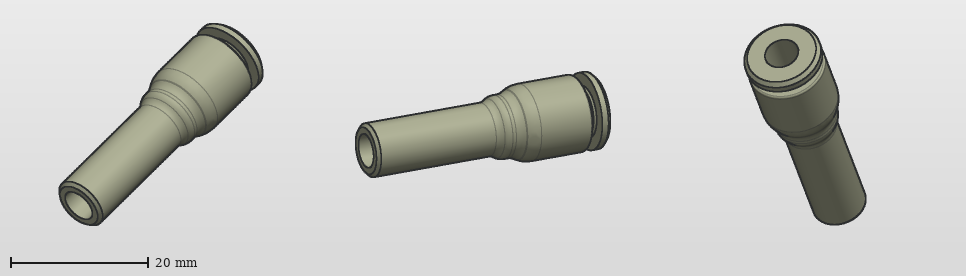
import cadquery as cq
import math

LENGTH = 37.1
BODY_RADIUS = 11.5 / 2
NECK_RADIUS = 7.1 / 2
RING_RADIUS = 9.5 / 2
STEM_RADIUS = 8.0 / 2
BORE_RADIUS = 5.0 / 2

FLANGE_THICKNESS = 1.6
FLANGE_CHAMFER = 0.6
NECK_CHAMFER = 0.35
NECK_GAP = 1.5

BODY_STRAIGHT = 8.4
BODY_EDGE_FILLET = 0.3
SHOULDER_CONVEX_RADIUS = 4.0
SHOULDER_CONCAVE_RADIUS = 3.0
SHOULDER_ANGLE = math.radians(30)

RING_WIDTH = 0.55
BLEND_LENGTH = 2.35
BLEND_CONVEX_LENGTH = 1.1
STEM_CHAMFER = 0.52

flange_bottom = LENGTH - FLANGE_THICKNESS
body_top = flange_bottom - NECK_GAP
shoulder_start = body_top - BODY_STRAIGHT

sin_slope = math.sin(SHOULDER_ANGLE)
arc_rise = 1 - math.cos(SHOULDER_ANGLE)
cone_top_radius = BODY_RADIUS - SHOULDER_CONVEX_RADIUS * arc_rise
cone_top = shoulder_start - SHOULDER_CONVEX_RADIUS * sin_slope
cone_bottom_radius = RING_RADIUS + SHOULDER_CONCAVE_RADIUS * arc_rise
cone_bottom = cone_top - (cone_top_radius - cone_bottom_radius) / math.tan(SHOULDER_ANGLE)
ring_top = cone_bottom - SHOULDER_CONCAVE_RADIUS * sin_slope
ring_bottom = ring_top - RING_WIDTH

blend_middle = ring_bottom - BLEND_CONVEX_LENGTH
blend_drop = (RING_RADIUS - STEM_RADIUS) * BLEND_CONVEX_LENGTH / BLEND_LENGTH
blend_middle_radius = RING_RADIUS - blend_drop
stem_top = ring_bottom - BLEND_LENGTH


def half_outline():
    """Half section as (radius, Y), from the flange end down to the stem tip."""
    collar = (
        cq.Workplane("XY")
        .moveTo(BORE_RADIUS, LENGTH)
        .lineTo(BODY_RADIUS - FLANGE_CHAMFER, LENGTH)
        .lineTo(BODY_RADIUS, LENGTH - FLANGE_CHAMFER)
        .lineTo(BODY_RADIUS, flange_bottom)
        .lineTo(NECK_RADIUS + NECK_CHAMFER, flange_bottom)
        .lineTo(NECK_RADIUS, flange_bottom - NECK_CHAMFER)
        .lineTo(NECK_RADIUS, body_top)
    )
    body = (
        collar
        .lineTo(BODY_RADIUS - BODY_EDGE_FILLET, body_top)
        .tangentArcPoint((BODY_RADIUS, body_top - BODY_EDGE_FILLET), relative=False)
        .lineTo(BODY_RADIUS, shoulder_start)
        .tangentArcPoint((cone_top_radius, cone_top), relative=False)
        .lineTo(cone_bottom_radius, cone_bottom)
        .tangentArcPoint((RING_RADIUS, ring_top), relative=False)
        .lineTo(RING_RADIUS, ring_bottom)
        .tangentArcPoint((blend_middle_radius, blend_middle), relative=False)
        .tangentArcPoint((STEM_RADIUS, stem_top), relative=False)
    )
    return (
        body
        .lineTo(STEM_RADIUS, STEM_CHAMFER)
        .lineTo(STEM_RADIUS - STEM_CHAMFER, 0)
        .lineTo(BORE_RADIUS, 0)
        .close()
    )


result = half_outline().revolve(360, (0, 0, 0), (0, 1, 0))